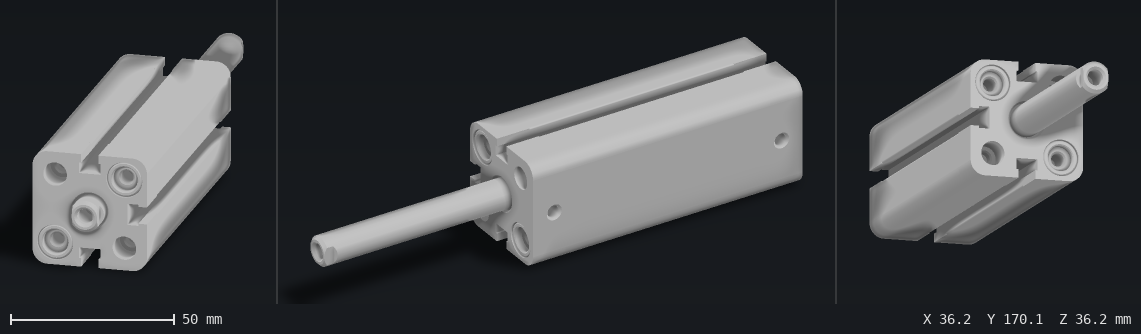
import cadquery as cq


FRONT_TO_REAR = (0, 1, 0)

section_size = 36.2
corner_radius = 4.6
cap_length = 11.7
barrel_length = 73.8
body_length = barrel_length + 2 * cap_length

slot_mouth_width = 5.5
slot_channel_width = 6.8
slot_lip_depth = 2.7
slot_depth = 6.1
barrel_lip_radius = 0.5

rod_diameter = 10.0
rod_length = 170.1
rod_front_overhang = 6.3
tip_diameter = 8.0
tip_chamfer = (rod_diameter - tip_diameter) / 2
flat_spacing = 8.0
flat_length = 3.2

rod_hole_diameter = 5.0
rod_hole_mouth = 6.5
rod_hole_depth = 10.2

port_diameter = 4.0
port_mouth = 5.5
port_depth = 8.5
port_offset = 7.7

bearing_mouth = 12.0
bearing_clearance = 11.0
bearing_clearance_depth = 1.4

corner_pitch = 22.0
corner_hole_diameter = 4.0
corner_hole_mouth = 5.1
plain_bore_diameter = 7.5
plain_bore_depth = 8.5
ringed_bore_diameter = 8.0
ringed_bore_mouth = 8.7
ringed_bore_depth = 2.5

groove_outer_diameter = 11.4
ring_diameter = 10.9
ring_recess = 0.3
ring_chamfer = 0.3
groove_depth = 0.9


def cylinder(diameter, length, base, direction=FRONT_TO_REAR):
    """Cylinder from the centre of its base along a direction."""
    return cq.Workplane(
        cq.Solid.makeCylinder(diameter / 2, length, cq.Vector(base), cq.Vector(direction))
    )


def countersunk_hole(diameter, mouth, depth, base, direction=FRONT_TO_REAR):
    """Hole cutter with a 45-degree countersink at its mouth."""
    sink = cq.Solid.makeCone(
        mouth / 2, diameter / 2, (mouth - diameter) / 2, cq.Vector(base), cq.Vector(direction)
    )
    return cylinder(diameter, depth, base, direction).union(cq.Workplane(sink))


def slot_cutter(start, length, lip_radius):
    """T-shaped slot cutter in the +Z side, with an optional rounding along the mouth."""
    top = section_size / 2
    half_mouth = slot_mouth_width / 2
    half_channel = slot_channel_width / 2
    lip_bottom = top - slot_lip_depth
    outline = (
        cq.Workplane("XZ", origin=(0, start, 0))
        .moveTo(-half_mouth - lip_radius, top)
        .lineTo(half_mouth + lip_radius, top)
    )
    if lip_radius:
        outline = outline.radiusArc((half_mouth, top - lip_radius), -lip_radius)
    outline = (
        outline.lineTo(half_mouth, lip_bottom)
        .lineTo(half_channel, lip_bottom)
        .lineTo(half_channel, top - slot_depth)
        .lineTo(-half_channel, top - slot_depth)
        .lineTo(-half_channel, lip_bottom)
        .lineTo(-half_mouth, lip_bottom)
        .lineTo(-half_mouth, top - lip_radius)
    )
    if lip_radius:
        outline = outline.radiusArc((-half_mouth - lip_radius, top), -lip_radius)
    return outline.close().extrude(-length)


def housing_block(start, length, lip_radius=0):
    """Rounded square block with the rod bore and slots in the top, bottom and +X sides."""
    block = (
        cq.Workplane("XZ", origin=(0, start, 0))
        .rect(section_size, section_size)
        .extrude(-length)
        .edges("|Y")
        .fillet(corner_radius)
    )
    cutter = slot_cutter(start, length, lip_radius)
    for angle in (0, 90, 180):
        block = block.cut(cutter.rotate((0, 0, 0), (0, 1, 0), angle))
    return block.cut(cylinder(rod_diameter, length, (0, start, 0)))


def make_barrel():
    return housing_block(cap_length, barrel_length, barrel_lip_radius)


def corner_hole(x, z, bore_depth):
    """Countersunk hole from the floor of a corner bore through the rest of the cap."""
    depth = cap_length - bore_depth
    return countersunk_hole(corner_hole_diameter, corner_hole_mouth, depth, (x, bore_depth, z))


def plain_corner_hole(x, z):
    """Corner hole with a plain, deep bore."""
    bore = cylinder(plain_bore_diameter, plain_bore_depth, (x, 0, z))
    return bore.union(corner_hole(x, z, plain_bore_depth))


def ringed_corner_hole(x, z):
    """Corner hole with a shallow bore inside a chamfered ring and its groove."""
    ring = cylinder(ring_diameter, groove_depth, (x, ring_recess, z)).faces("<Y").chamfer(ring_chamfer)
    groove = cylinder(groove_outer_diameter, ring_recess + groove_depth, (x, 0, z)).cut(ring)
    bore = countersunk_hole(
        ringed_bore_diameter, ringed_bore_mouth, ringed_bore_depth, (x, ring_recess, z)
    )
    return groove.union(bore).union(corner_hole(x, z, ring_recess + ringed_bore_depth))


def make_front_cap():
    corner = corner_pitch / 2
    cap = housing_block(0, cap_length)
    cap = cap.cut(
        countersunk_hole(bearing_clearance, bearing_mouth, bearing_clearance_depth, (0, 0, 0))
    )
    for side in (-1, 1):
        cap = cap.cut(plain_corner_hole(side * corner, -side * corner))
        cap = cap.cut(ringed_corner_hole(side * corner, side * corner))
    port_centre = (-section_size / 2, port_offset, 0)
    return cap.cut(countersunk_hole(port_diameter, port_mouth, port_depth, port_centre, (1, 0, 0)))


def mirrored_end(shape):
    """Copy of a front-end shape at the rear end of the housing."""
    return shape.mirror("XZ", (0, body_length / 2, 0))


def make_rod():
    start = -rod_front_overhang
    end = start + rod_length
    rod = cylinder(rod_diameter, rod_length, (0, start, 0)).faces("<Y or >Y").chamfer(tip_chamfer)
    flat_runout = (rod_diameter - flat_spacing) / 2
    half_spacing = flat_spacing / 2
    half_rod = rod_diameter / 2
    for tip, inward in ((start, 1), (end, -1)):
        flat = (
            cq.Workplane("XY")
            .polyline(
                [
                    (half_spacing, tip),
                    (half_rod, tip),
                    (half_rod, tip + inward * (flat_length + flat_runout)),
                    (half_spacing, tip + inward * flat_length),
                ]
            )
            .close()
            .extrude(rod_diameter, both=True)
        )
        rod = rod.cut(flat).cut(flat.mirror("YZ"))
        rod = rod.cut(
            countersunk_hole(
                rod_hole_diameter, rod_hole_mouth, rod_hole_depth, (0, tip, 0), (0, inward, 0)
            )
        )
    return rod


barrel = make_barrel()
front_cap = make_front_cap()
rear_cap = mirrored_end(front_cap)
rod = make_rod()

result = cq.Compound.makeCompound([barrel.val(), front_cap.val(), rear_cap.val(), rod.val()])